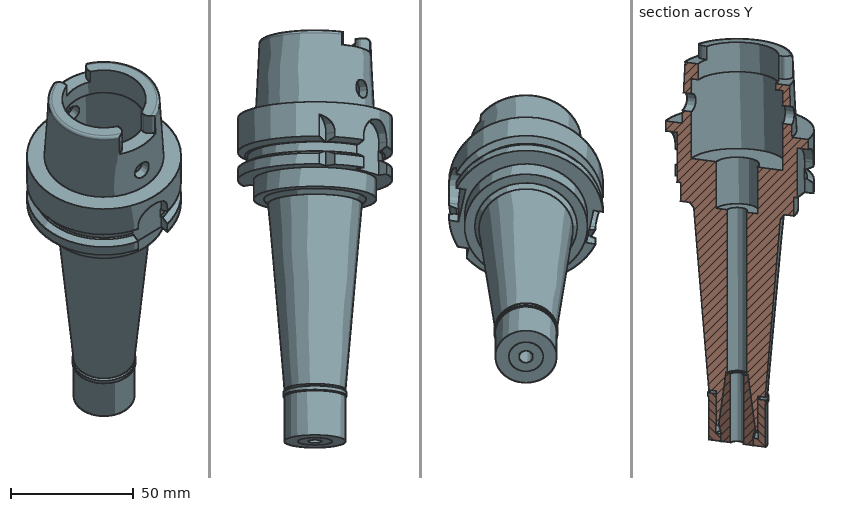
import cadquery as cq
import math


top_z = 167.0
flange_top_z = 135.0
flange_bottom_z = 109.0
collar_bottom_z = 101.0
shank_top_z = 99.0
shank_bottom_z = 21.4

cone_top_radius = 22.7
cone_base_radius = 24.4
cone_rim_fillet = 1.3
flange_diameter = 63.0
flange_radius = flange_diameter / 2
collar_radius = 25.0
collar_step_radius = 20.9
shank_top_radius = 19.2
shank_bottom_radius = 12.5
neck_radius = 9.4

groove_radius = 27.5
groove_top_z = 120.5
groove_bottom_z = 113.5
groove_cone_height = 1.5
groove_cone_depth = 2.8

mouth_radius = 17.0
mouth_depth = 12.7
mouth_bottom_z = top_z - mouth_depth
cavity_radius = 20.0
cavity_floor_z = 120.2
tube_hole_radius = 9.0
tube_hole_depth = 20.0
coolant_radius = 4.2

key_slot_width = 12.5
shallow_key_depth = 5.7
deep_key_depth = 9.9
key_corner_radius = 3.3
access_hole_diameter = 7.5
access_hole_z = 144.1
drive_slot_width = 15.7
drive_slot_top_z = 130.5
drive_slot_floor = 26.5
notch_center_y = 27.5
notch_floor = 20.0

nut_height = 20.4
nut_radius = 12.5
nut_rim_overhang = 0.42
nut_rim_height = 1.5
nut_lip_thickness = 3.3

collet_top_z = 30.0
collet_shoulder_z = 6.7
collet_nose_radius = 7.0
collet_shoulder_radius = 8.0
collet_half_angle = 8.0
collet_bore_radius = 2.8
collet_bore_chamfer = 0.42

collet_top_radius = collet_shoulder_radius - (
    (collet_top_z - collet_shoulder_z) * math.tan(math.radians(collet_half_angle))
)


def turned(points):
    """Solid of revolution about Z from (radius, z) corners."""
    return cq.Workplane("XZ").polyline(points).close().revolve(360, (0, 0), (0, 1))


def holder_blank():
    """Solid outside shape: clamping cone, grooved flange, collar, tapered shank and neck."""
    cone_end_radius = flange_radius - groove_cone_depth
    blank = turned([
        (0, top_z),
        (cone_top_radius, top_z),
        (cone_base_radius, flange_top_z),
        (flange_radius, flange_top_z),
        (flange_radius, groove_top_z),
        (cone_end_radius, groove_top_z - groove_cone_height),
        (groove_radius, groove_top_z - groove_cone_height),
        (groove_radius, groove_bottom_z + groove_cone_height),
        (cone_end_radius, groove_bottom_z + groove_cone_height),
        (flange_radius, groove_bottom_z),
        (flange_radius, flange_bottom_z),
        (collar_radius, flange_bottom_z),
        (collar_radius, collar_bottom_z),
        (collar_step_radius, collar_bottom_z),
        (shank_top_radius, shank_top_z),
        (shank_bottom_radius, shank_bottom_z),
        (neck_radius, shank_bottom_z),
        (neck_radius, collet_shoulder_z),
        (0, collet_shoulder_z),
    ])
    return blank.faces(">Z").edges().fillet(cone_rim_fillet)


def holder_hollow():
    """Clamping cavity, coolant tube hole, coolant passage and collet seat."""
    tube_floor_z = cavity_floor_z - tube_hole_depth
    return turned([
        (0, top_z),
        (mouth_radius, top_z),
        (mouth_radius, mouth_bottom_z),
        (cavity_radius, mouth_bottom_z),
        (cavity_radius, cavity_floor_z),
        (tube_hole_radius, cavity_floor_z),
        (tube_hole_radius, tube_floor_z),
        (coolant_radius, tube_floor_z),
        (coolant_radius, collet_top_z),
        (collet_top_radius, collet_top_z),
        (collet_shoulder_radius, collet_shoulder_z),
        (0, collet_shoulder_z),
    ])


def key_slot(side, depth):
    """Keyway through one wall of the cone rim; its outer corners flare out as rounds."""
    half_width = key_slot_width / 2
    flare_end_y = half_width + key_corner_radius
    flare_end_x = math.sqrt(cone_top_radius**2 - flare_end_y**2)
    flare_start_x = flare_end_x - key_corner_radius
    diagonal = key_corner_radius * math.sqrt(0.5)
    arc_x = flare_start_x + diagonal
    arc_y = flare_end_y - diagonal
    return (
        cq.Workplane("XY", origin=(0, 0, top_z - depth))
        .moveTo(0, -half_width)
        .lineTo(side * flare_start_x, -half_width)
        .threePointArc((side * arc_x, -arc_y), (side * flare_end_x, -flare_end_y))
        .lineTo(side * cone_base_radius, -flare_end_y)
        .lineTo(side * cone_base_radius, flare_end_y)
        .lineTo(side * flare_end_x, flare_end_y)
        .threePointArc((side * arc_x, arc_y), (side * flare_start_x, half_width))
        .lineTo(0, half_width)
        .close()
        .extrude(depth)
    )


def flange_slot(side, center_y, floor):
    """Round-topped slot, open below, cut along X into the flange down to a flat floor."""
    radius = drive_slot_width / 2
    arc_center_z = drive_slot_top_z - radius
    return (
        cq.Workplane("YZ", origin=(side * floor, 0, 0))
        .moveTo(center_y - radius, flange_bottom_z)
        .lineTo(center_y - radius, arc_center_z)
        .threePointArc((center_y, drive_slot_top_z), (center_y + radius, arc_center_z))
        .lineTo(center_y + radius, flange_bottom_z)
        .close()
        .extrude(side * (flange_radius - floor))
    )


def access_holes():
    """Cross hole along X through both walls of the cone."""
    return (
        cq.Workplane("YZ", origin=(0, 0, access_hole_z))
        .circle(access_hole_diameter / 2)
        .extrude(cone_base_radius, both=True)
    )


def make_holder():
    holder = holder_blank().cut(holder_hollow())
    holder = holder.cut(key_slot(-1, shallow_key_depth))
    holder = holder.cut(key_slot(1, deep_key_depth))
    holder = holder.cut(access_holes())
    for side in (-1, 1):
        holder = holder.cut(flange_slot(side, 0, drive_slot_floor))
    return holder.cut(flange_slot(-1, notch_center_y, notch_floor))


def make_nut():
    """Cap around the neck, with a rim at its upper end and an opening for the collet nose."""
    rim_bottom_z = nut_height - nut_rim_height
    rim_radius = nut_radius + nut_rim_overhang
    return turned([
        (collet_nose_radius, 0),
        (nut_radius, 0),
        (nut_radius, rim_bottom_z - nut_rim_overhang),
        (rim_radius, rim_bottom_z),
        (rim_radius, nut_height),
        (neck_radius, nut_height),
        (neck_radius, nut_lip_thickness),
        (collet_nose_radius, nut_lip_thickness),
    ])


def make_collet():
    """Tapered sleeve seated in the holder, its nose flush with the face of the nut."""
    return turned([
        (collet_bore_radius, 0),
        (collet_nose_radius, 0),
        (collet_nose_radius, nut_lip_thickness),
        (collet_shoulder_radius, collet_shoulder_z),
        (collet_top_radius, collet_top_z),
        (collet_bore_radius + collet_bore_chamfer, collet_top_z),
        (collet_bore_radius, collet_top_z - collet_bore_chamfer),
    ])


holder = make_holder()
nut = make_nut()
collet = make_collet()

result = cq.Compound.makeCompound([holder.val(), nut.val(), collet.val()])